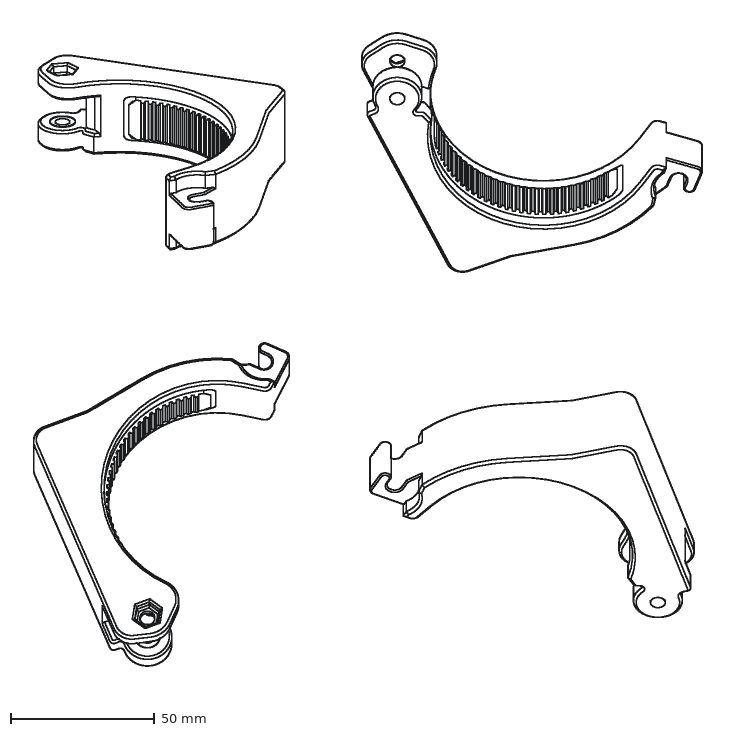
import cadquery as cq
import math


HEIGHT = 28.0
BORE_R = 39.6
OUTER_R = 49.4
TOP_Y = 53.3
FLANK_X = 44.3
FLANK_LEAN = 10.8
CORNER_R = 5.8
EDGE_CHAMFER = 1.0
BORE_END_ANGLE = -34.6
OUTER_END_ANGLE = -28

PIN_X, PIN_Y = -35.2, 40.5
LUG_R = 8.6
LUG_LEAN = 14.7
LUG_CORNER_R = 6.7
LUG_TIP_R = 7.7
LOWER_LUG_TOP = 7.9
UPPER_LUG_BOTTOM = 22.0
LUG_CHAMFER = 0.9
PIN_HOLE_D = 5.2
WASHER_D = 8.9
WASHER_DEPTH = 0.2
NUB_GROOVE_R = 0.7
NECK_GROOVE_R = 1.4
NECK_X = -33.3
NECK_CORNER_R = 1.4
FORK_WALL_TOP_X = -24.6
FORK_WALL_X = -27.2
FORK_WALL_BOTTOM_Y = 38.7
NUB_CORNER = (-25.6, 34.6)
NUB_CORNER_R = 1.7
NUB_END = (-21.0, 33.5)
FORK_STEP = [(-26.2, 38.1), (-22.1, 37.4), (-19.0, 34.6)]
FORK_STEP_R = 1.7
UPPER_RIM_LIMITS = (-26.9, 34.6)
LOWER_RIM_LIMITS = (-26, 35.6)

NUT_FLATS = 8.3
NUT_CHAMFER = 0.8
NUT_WALL_DEPTH = 3.2

HOOK_X, HOOK_Y = 40.6, -33.8
HOOK_ANGLE = 42.7
HOOK_SLOT_R = 2.7
HOOK_BACK = 7.5
HOOK_REACH = 4.0
HOOK_SIDE = 6.8
HOOK_CORNER_R = 2.4
HOOK_LIP_R = 1.2
HOOK_BOTTOM = 6.0
HOOK_TOP = 22.1
HOOK_CHAMFER = 0.6
FINGER_FLAT = 0.2
CLEARANCE_R = 8.7
CLEARANCE_SIDE = 7.1
CLEARANCE_EXIT = [(40.6, -25.2), (45.1, -22.1), (57.7, -22.1), (57.7, -33.8)]
ARM_TIP_R = 2.6

PAD_MID_ANGLE = 43
PAD_HALF_ANGLE = 64
PAD_RAMP_ANGLE = 5
PAD_BOTTOM = 5.3
PAD_TOP = 22.1
PAD_ROOT = 0.5
PAD_CORNER_R = 3.8
CREST_R = 38.1
FLOOR_R = 38.75
RIB_COUNT = 30
RIB_PITCH = 4
RIB_R = 0.9
RIB_SETBACK = 0.8

REACH = 96.15


def polar(radius, angle):
    return radius * math.cos(math.radians(angle)), radius * math.sin(math.radians(angle))


def hook_point(along, across):
    """Point in the hook frame: along the slot, and across it towards the finger."""
    ux, uy = polar(1, HOOK_ANGLE)
    return HOOK_X + along * ux + across * uy, HOOK_Y + along * uy - across * ux


def crossing(normal_a, offset_a, normal_b, offset_b):
    """Crossing point of two lines, each given by its normal angle and distance from the origin."""
    ax, ay = polar(1, normal_a)
    bx, by = polar(1, normal_b)
    det = ax * by - ay * bx
    return (offset_a * by - offset_b * ay) / det, (ax * offset_b - bx * offset_a) / det


def pin_tangent(normal):
    """Distance from the origin of the lug's tangent line with this normal angle."""
    nx, ny = polar(1, normal)
    return PIN_X * nx + PIN_Y * ny + LUG_R


def fillet_upright(part, point, radius):
    """Round the upright edge nearest to a plan point."""
    x, y = point
    return part.edges("|Z").edges(cq.NearestToPointSelector((x, y, HEIGHT / 2))).fillet(radius)


def prism(points, bottom, top):
    return cq.Workplane("XY").workplane(offset=bottom).polyline(points).close().extrude(top - bottom)


def disk(x, y, radius, bottom, top):
    return cq.Workplane("XY").workplane(offset=bottom).center(x, y).circle(radius).extrude(top - bottom)


left_normal = 180 - LUG_LEAN
lower_normal = 225
tip_offset = pin_tangent(lower_normal)
lug_corner = crossing(left_normal, pin_tangent(left_normal), 90, TOP_Y)
lug_side = crossing(left_normal, pin_tangent(left_normal), lower_normal, tip_offset)
lug_tip = polar(BORE_R, lower_normal - math.degrees(math.acos(tip_offset / BORE_R)))
plate_corner = (FLANK_X, TOP_Y)
flank_end = crossing(0, FLANK_X, FLANK_LEAN, OUTER_R)
hook_lip = hook_point(HOOK_REACH, -HOOK_SLOT_R)
finger_outer = hook_point(HOOK_REACH, HOOK_SIDE)
finger_inner = hook_point(HOOK_REACH, HOOK_SLOT_R)
hook_heel = hook_point(-HOOK_BACK, HOOK_SIDE)
back_x, back_y = hook_point(-HOOK_BACK, 0)
along_x, along_y = polar(1, HOOK_ANGLE)
back_offset = back_x * along_x + back_y * along_y
arm_tip = crossing(BORE_END_ANGLE, BORE_R, HOOK_ANGLE, back_offset)
solid = (
    cq.Workplane("XY")
    .moveTo(*lug_corner)
    .lineTo(*plate_corner)
    .lineTo(*flank_end)
    .lineTo(*polar(OUTER_R, FLANK_LEAN))
    .threePointArc(polar(OUTER_R, 0), polar(OUTER_R, OUTER_END_ANGLE))
    .lineTo(*hook_lip)
    .lineTo(*finger_outer)
    .lineTo(*hook_heel)
    .lineTo(*arm_tip)
    .lineTo(*polar(BORE_R, BORE_END_ANGLE))
    .threePointArc(polar(BORE_R, PAD_MID_ANGLE), lug_tip)
    .lineTo(*lug_side)
    .close()
    .extrude(HEIGHT)
)
for corner, radius in (
    (lug_corner, LUG_CORNER_R),
    (lug_side, LUG_R),
    (lug_tip, LUG_TIP_R),
    (plate_corner, CORNER_R),
    (hook_heel, HOOK_CORNER_R),
    (arm_tip, ARM_TIP_R),
):
    solid = fillet_upright(solid, corner, radius)

clearance = disk(HOOK_X, HOOK_Y, CLEARANCE_R, 0, HEIGHT).union(prism(CLEARANCE_EXIT, 0, HEIGHT))
hook_zone = disk(HOOK_X, HOOK_Y, 2 * CLEARANCE_R, HOOK_BOTTOM, HOOK_TOP)
heel_side = [
    hook_point(0, -CLEARANCE_SIDE),
    hook_point(-REACH, -CLEARANCE_SIDE),
    hook_point(-REACH, REACH),
    hook_point(0, REACH),
]
clearance = clearance.union(prism(heel_side, 0, HEIGHT))
slot_line = [
    hook_point(0, -HOOK_SLOT_R),
    hook_point(REACH, -HOOK_SLOT_R),
    hook_point(REACH, HOOK_SLOT_R),
    hook_point(0, HOOK_SLOT_R),
]
slot = prism(slot_line, 0, HEIGHT)
slot_end = disk(HOOK_X, HOOK_Y, HOOK_SLOT_R, 0, HEIGHT)
blade = solid.intersect(hook_zone).cut(slot).cut(slot_end)
finger_r = (HOOK_SIDE - HOOK_SLOT_R - FINGER_FLAT) / 2
for corner, radius in ((finger_outer, finger_r), (finger_inner, finger_r), (hook_lip, HOOK_LIP_R)):
    blade = fillet_upright(blade, corner, radius)
blade = blade.faces("<Z or >Z").edges().chamfer(HOOK_CHAMFER)
body = solid.cut(clearance)

fork_top = [(-REACH, REACH), (FORK_WALL_TOP_X, REACH), (FORK_WALL_TOP_X, TOP_Y)]
fork_wall_foot = (FORK_WALL_X, FORK_WALL_BOTTOM_Y)
nub_side = [fork_wall_foot, NUB_CORNER, NUB_END, (NUB_END[0], 0), (-REACH, 0)]
low_zone = prism(fork_top + nub_side, 0, LOWER_LUG_TOP)
low_zone = fillet_upright(low_zone, NUB_CORNER, NUB_CORNER_R)
step_side = FORK_STEP + [(FORK_STEP[-1][0], 0), (-REACH, 0)]
fork_zone = prism(fork_top + step_side, LOWER_LUG_TOP, UPPER_LUG_BOTTOM)
fork_zone = fillet_upright(fork_zone, FORK_STEP[0], FORK_STEP_R)
neck_outline = [(NECK_X, PIN_Y), (NECK_X, TOP_Y), (FORK_WALL_TOP_X, TOP_Y), fork_wall_foot]
neck = prism(neck_outline, 0, LOWER_LUG_TOP)
neck = fillet_upright(neck, (NECK_X, TOP_Y), NECK_CORNER_R)
body = body.cut(low_zone).cut(fork_zone)
body = body.union(neck.union(disk(PIN_X, PIN_Y, LUG_R, 0, LOWER_LUG_TOP)))
for groove, radius in (
    (fork_wall_foot, NUB_GROOVE_R),
    ((NECK_X, PIN_Y + LUG_R), NECK_GROOVE_R),
):
    nearest = cq.NearestToPointSelector((*groove, LOWER_LUG_TOP / 2))
    body = body.edges("|Z").edges(nearest).fillet(radius)

body = body.faces(">Z").edges().chamfer(EDGE_CHAMFER)
body = body.faces("<Z").edges().chamfer(EDGE_CHAMFER)


def rim_edges(part, z, x_limit, y_limit):
    """Edges of the lug face at height z that lie outside the fork wall."""
    beside = cq.selectors.BoxSelector((-REACH, -REACH, z - 0.1), (x_limit, REACH, z + 0.1))
    below = cq.selectors.BoxSelector((-REACH, -REACH, z - 0.1), (FORK_STEP[-1][0], y_limit, z + 0.1))
    return part.edges(beside + below)


body = rim_edges(body, UPPER_LUG_BOTTOM, *UPPER_RIM_LIMITS).chamfer(LUG_CHAMFER)
body = rim_edges(body, LOWER_LUG_TOP, *LOWER_RIM_LIMITS).chamfer(LUG_CHAMFER)

body = body.cut(disk(PIN_X, PIN_Y, PIN_HOLE_D / 2, 0, HEIGHT))
body = body.cut(disk(PIN_X, PIN_Y, WASHER_D / 2, LOWER_LUG_TOP - WASHER_DEPTH, LOWER_LUG_TOP))


def hex_taper(low_flats, low_z, high_flats, high_z):
    """Hexagonal plug between two heights, across flats low_flats and high_flats."""
    low = cq.Sketch().regularPolygon(low_flats / math.sqrt(3), 6)
    high = cq.Sketch().regularPolygon(high_flats / math.sqrt(3), 6)
    start = cq.Workplane("XY").workplane(offset=low_z).center(PIN_X, PIN_Y)
    return start.placeSketch(low, high.moved(cq.Location(cq.Vector(0, 0, high_z - low_z)))).loft()


nut_wall_bottom = HEIGHT - NUT_WALL_DEPTH
nut_wall_top = HEIGHT - NUT_CHAMFER
narrow_flats = NUT_FLATS - 2 * NUT_CHAMFER
wide_flats = NUT_FLATS + 2 * NUT_CHAMFER
body = body.cut(hex_taper(narrow_flats, nut_wall_bottom - NUT_CHAMFER, NUT_FLATS, nut_wall_bottom))
body = body.cut(hex_taper(NUT_FLATS, nut_wall_bottom, NUT_FLATS, nut_wall_top))
body = body.cut(hex_taper(NUT_FLATS, nut_wall_top, wide_flats, HEIGHT))


def ramp_cut(side):
    """Prism that leaves the flat ramp at one end of the pad; side is 1 or -1."""
    end = PAD_MID_ANGLE + side * PAD_HALF_ANGLE
    foot_x, foot_y = polar(BORE_R, end)
    head_x, head_y = polar(CREST_R, end - side * PAD_RAMP_ANGLE)
    run_x = foot_x - head_x
    run_y = foot_y - head_y
    beyond = polar(CREST_R / 2, end + side * PAD_HALF_ANGLE / 2)
    return prism([(foot_x + run_x, foot_y + run_y), (head_x - run_x, head_y - run_y), beyond], 0, HEIGHT)


def pad_envelope(inner_r):
    """Ring sector up to inner_r, with 45 degree sides, a ramp at each end and rounded corners."""
    slope = BORE_R - inner_r
    root_r = BORE_R + PAD_ROOT
    half = PAD_HALF_ANGLE + PAD_RAMP_ANGLE / 2
    envelope = (
        cq.Workplane("XZ")
        .polyline(
            [
                (root_r, PAD_BOTTOM - PAD_ROOT),
                (inner_r, PAD_BOTTOM + slope),
                (inner_r, PAD_TOP - slope),
                (root_r, PAD_TOP + PAD_ROOT),
            ]
        )
        .close()
        .revolve(2 * half, (0, 0), (0, 1))
        .rotate((0, 0, 0), (0, 0, 1), PAD_MID_ANGLE - half)
    )
    for side in (-1, 1):
        envelope = envelope.cut(ramp_cut(side))
    for side in (-1, 1):
        x, y = polar(BORE_R, PAD_MID_ANGLE + side * PAD_HALF_ANGLE)
        for z in (PAD_BOTTOM, PAD_TOP):
            corner = envelope.edges(cq.NearestToPointSelector((x, y, z)))
            envelope = corner.fillet(PAD_CORNER_R)
    return envelope


pad = pad_envelope(FLOOR_R)
crest = pad_envelope(CREST_R)
rib_angles = [PAD_MID_ANGLE + (rib - (RIB_COUNT - 1) / 2) * RIB_PITCH for rib in range(RIB_COUNT)]
rib_centres = [polar(CREST_R + RIB_SETBACK, angle) for angle in rib_angles]
ribs = cq.Workplane("XY").pushPoints(rib_centres).circle(RIB_R).extrude(HEIGHT)
pad = pad.union(ribs.intersect(crest, clean=False), clean=False)

result = body.union(blade).union(pad, clean=False)